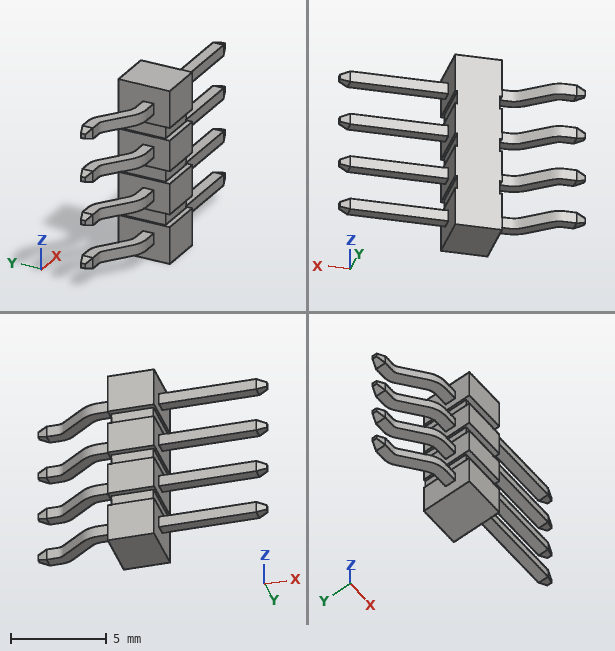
import cadquery as cq
import math

pin_count = 4
total_length = 12.95
housing_width = 2.54
housing_depth = 3.05
housing_height = 10.17
pitch = housing_height / pin_count

housing_left = 4.57
housing_back = 1.79
housing_front = housing_back - housing_depth

notch_height = 0.74
notch_side_depth = 0.12
notch_front_depth = 0.31

pin_size = 0.63
tip_length = 0.52
tip_size = 0.27

bend_start = 1.15
bend_angle = math.radians(37.5)
first_bend_inner_radius = 0.5
second_bend_inner_radius = 0.97
first_bend_radius = first_bend_inner_radius + pin_size / 2
second_bend_radius = second_bend_inner_radius + pin_size / 2
pin_offset = housing_back - pin_size / 2


def housing_block(height, center_z, side_inset=0, front_inset=0):
    """Box flush with the housing back, set in from its sides and front."""
    width = housing_width - 2 * side_inset
    depth = housing_depth - front_inset
    corner = (housing_left + side_inset, housing_front + front_inset, center_z)
    block = cq.Workplane("XY").box(width, depth, height, centered=(False, False, True))
    return block.translate(corner)


def make_housing():
    """Block with a notch across the front and both sides between the rows."""
    housing = housing_block(housing_height, 0)
    for row in range(1, pin_count):
        notch_z = row * pitch - housing_height / 2
        slab = housing_block(notch_height, notch_z)
        neck = housing_block(notch_height, notch_z, notch_side_depth, notch_front_depth)
        housing = housing.cut(slab.cut(neck))
    return housing


def make_tip(base_x, y, direction):
    """Truncated pyramid on the pin end, pointing along X in the given direction."""
    base_plane = cq.Plane(origin=(base_x, y, 0), xDir=(0, 1, 0), normal=(direction, 0, 0))
    return (
        cq.Workplane(base_plane)
        .rect(pin_size, pin_size)
        .workplane(offset=tip_length)
        .rect(tip_size, tip_size)
        .loft(ruled=True)
    )


def make_pin():
    """Pin at Z = 0: bent end, sloping middle, straight end and two tips."""
    bend_drop_ratio = 1 - math.cos(bend_angle)
    slope_drop = pin_offset - (first_bend_radius + second_bend_radius) * bend_drop_ratio
    slope_run = slope_drop / math.tan(bend_angle)
    first_bend = (
        first_bend_radius * math.sin(bend_angle),
        -first_bend_radius * bend_drop_ratio,
    )
    second_bend = (
        second_bend_radius * math.sin(bend_angle),
        -second_bend_radius * bend_drop_ratio,
    )
    straight_end = total_length - tip_length

    centreline = (
        cq.Workplane("XY")
        .moveTo(tip_length, pin_offset)
        .lineTo(bend_start, pin_offset)
        .tangentArcPoint(first_bend)
        .line(slope_run, -slope_drop)
        .tangentArcPoint(second_bend)
        .lineTo(straight_end, 0)
    )
    shank = (
        cq.Workplane("YZ", origin=(tip_length, pin_offset, 0))
        .rect(pin_size, pin_size)
        .sweep(centreline)
    )
    bent_tip = make_tip(tip_length, pin_offset, -1)
    straight_tip = make_tip(straight_end, 0, 1)
    return shank.union(bent_tip).union(straight_tip)


pin = make_pin()
result = make_housing()
for row in range(pin_count):
    pin_z = (row + 0.5) * pitch - housing_height / 2
    result = result.union(pin.translate((0, 0, pin_z)))